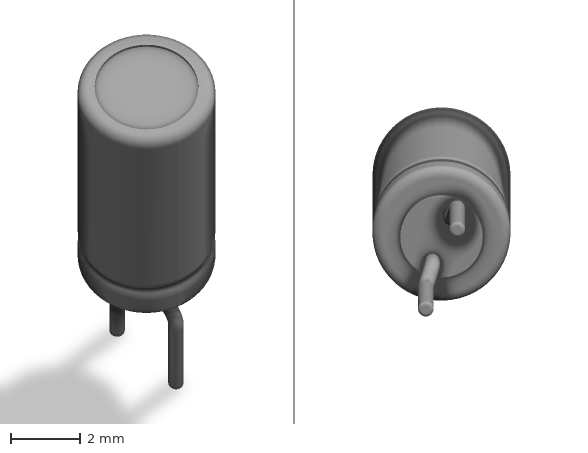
import cadquery as cq
import math


can_diameter = 4.0
can_height = 8.7
can_radius = can_diameter / 2
rim_fillet = 0.29

groove_floor_diameter = 3.8
groove_height = 0.78
groove_core_height = 0.2
groove_center_z = 1.21

marker_angle = 30.0

cap_diameter = 3.0
cap_thickness = 0.2
cap_recess = 0.1

base_diameter = 2.4
base_height = 0.3

total_height = 13.6
lead_diameter = 0.45
lead_top_pitch = 1.5
lead_pitch = 2.53
lead_neck_length = 0.49
lead_bend_height = 1.1
lead_tip_fillet = 0.11
lead_length = total_height - can_height - base_height

groove_depth = (can_diameter - groove_floor_diameter) / 2
groove_half = groove_height / 2
core_half = groove_core_height / 2
groove_slope = 2 * math.atan(groove_depth / groove_half)
lip_radius = (groove_half - core_half) / math.sin(groove_slope)


def lip_point(angle):
    """Radius and height above the groove centre of the lip point where the surface leans by angle from Z."""
    radius = can_radius - lip_radius * (1 - math.cos(angle))
    height = groove_half - lip_radius * math.sin(angle)
    return radius, height


def make_can_sector(start_angle, sweep_angle):
    """Revolve the can half profile about Z from start_angle (measured from +X) through sweep_angle."""
    fillet_center = can_radius - rim_fillet
    fillet_bulge = rim_fillet * math.sin(math.radians(45))
    pocket_radius = cap_diameter / 2
    pocket_floor_z = can_height - cap_recess - cap_thickness
    lip_mid_radius, lip_mid_height = lip_point(groove_slope / 2)
    lip_end_radius, lip_end_height = lip_point(groove_slope)

    profile = (
        cq.Workplane("XZ")
        .moveTo(0, 0)
        .lineTo(fillet_center, 0)
        .threePointArc(
            (fillet_center + fillet_bulge, rim_fillet - fillet_bulge),
            (can_radius, rim_fillet),
        )
        .lineTo(can_radius, groove_center_z - groove_half)
        .threePointArc(
            (lip_mid_radius, groove_center_z - lip_mid_height),
            (lip_end_radius, groove_center_z - lip_end_height),
        )
        .threePointArc(
            (groove_floor_diameter / 2, groove_center_z),
            (lip_end_radius, groove_center_z + lip_end_height),
        )
        .threePointArc(
            (lip_mid_radius, groove_center_z + lip_mid_height),
            (can_radius, groove_center_z + groove_half),
        )
        .lineTo(can_radius, can_height - rim_fillet)
        .threePointArc(
            (fillet_center + fillet_bulge, can_height - rim_fillet + fillet_bulge),
            (fillet_center, can_height),
        )
        .lineTo(pocket_radius, can_height)
        .lineTo(pocket_radius, pocket_floor_z)
        .lineTo(0, pocket_floor_z)
        .close()
    )
    sector = profile.revolve(sweep_angle, (0, 0, 0), (0, 1, 0))
    return sector.rotate((0, 0, 0), (0, 0, 1), start_angle)


def make_cap():
    """Metal disc that fills the floor of the top pocket."""
    cap_top_z = can_height - cap_recess
    return cq.Workplane("XY", origin=(0, 0, cap_top_z)).circle(cap_diameter / 2).extrude(-cap_thickness)


def make_base():
    """Plug disc that closes the can from below."""
    return cq.Workplane("XY").circle(base_diameter / 2).extrude(-base_height)


def make_lead(side):
    """Round wire lead on the given side of the axis (-1 or +1), joggled outward in an S-bend."""
    top_x = lead_top_pitch / 2
    foot_x = lead_pitch / 2
    top_z = -base_height
    bend_top_z = top_z - lead_neck_length
    bend_mid_x = (top_x + foot_x) / 2
    bend_mid_z = bend_top_z - lead_bend_height / 2
    bend_bottom_z = bend_top_z - lead_bend_height
    tip_z = top_z - lead_length

    path = (
        cq.Workplane("XZ")
        .moveTo(side * top_x, top_z)
        .lineTo(side * top_x, bend_top_z)
        .tangentArcPoint((side * bend_mid_x, bend_mid_z), relative=False)
        .tangentArcPoint((side * foot_x, bend_bottom_z), relative=False)
        .lineTo(side * foot_x, tip_z)
    )
    wire = cq.Workplane("XY", origin=(side * top_x, 0, top_z)).circle(lead_diameter / 2).sweep(path)
    return wire.faces("<Z").edges().fillet(lead_tip_fillet)


sleeve = make_can_sector(marker_angle / 2, 360 - marker_angle)
marker = make_can_sector(-marker_angle / 2, marker_angle)
cap = make_cap()
base = make_base()
leads = [make_lead(side) for side in (-1, 1)]

result = cq.Compound.makeCompound(
    [sleeve.val(), marker.val(), cap.val(), base.val(), *[lead.val() for lead in leads]]
)